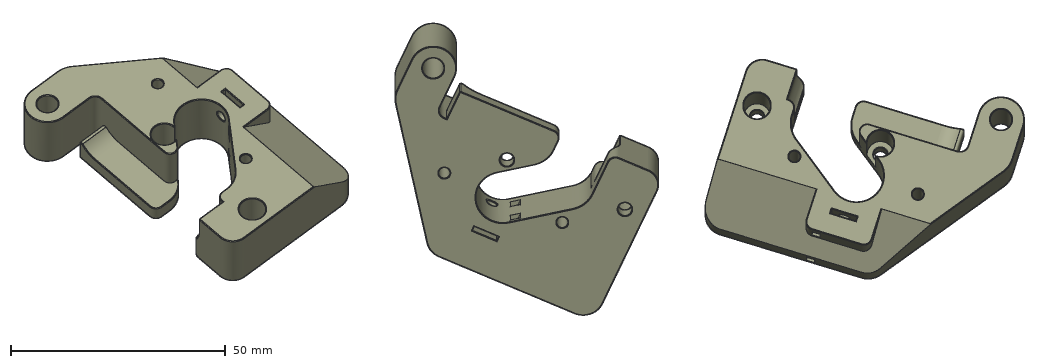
import cadquery as cq
import math

LENGTH = 65.65
WIDTH = 48.0
HEIGHT = 15.0
EDGE_BREAK = 0.2
SMALL_CORNER = 2.0
FINGER_CORNER = 1.85

LUG_RADIUS = 5.45
LUG_BORE_DIAMETER = 5.0

FRONT_Y = 8.15
WALL_Y = 15.7
FOOT_LEFT_X = 13.5

SLOT_RADIUS = 6.3
SLOT_END = (33.55, 28.3)
SLOT_ANGLE = math.radians(36.9)
SLOT_RIGHT_X = 52.1
SLOT_LEFT_X = SLOT_RIGHT_X - 2 * SLOT_RADIUS
SLOT_BEND_RADIUS = 6.55

BACK_LEFT_X = 23.55
LEFT_SLANT_Y = 15.7
LEFT_CORNER = 6.0
BACK_CORNER = 5.0
FRONT_RIGHT_CORNER = 4.0

GROOVE_LEFT_X = 12.75
GROOVE_RIGHT_X = 54.35
GROOVE_FLOOR_Z = 4.0
GROOVE_RADIUS = 6.0
FOOT_TIP_Z = 5.8
FOOT_TIP_RADIUS = 0.45

SLOPE_START_Y = 34.2
SLOPE_BACK_Z = 5.9
BOSS_WIDTH = 16.0
BOSS_BACK_Y = 43.8

NUT_SLOT_LENGTH = 6.2
NUT_SLOT_WIDTH = 1.05
NUT_SLOT_Y = 38.2
SCREW_DIAMETER = 2.6
SCREW_Z = 11.2

WINDOW_WIDTH = 2.0
WINDOW_HEIGHT = 2.95
WINDOW_OFFSET_X = 5.05
WINDOW_CENTERS_Z = (2.7, 11.2)

PIN_CENTERS = [(18.6, SLOT_END[1]), (48.7, SLOT_END[1])]
PIN_DIAMETER = 2.6
BOLT_CENTERS = [(30.5, 19.3), (60.65, 19.3)]
BOLT_DIAMETER = 3.2
COUNTERBORE_DIAMETER = 6.25
COUNTERBORE_FLOOR_Z = GROOVE_FLOOR_Z


def rounded_outline(corners):
    """Closed wire through (x, y, radius) corners, each rounded by a tangent arc."""
    shortest_line = 6.56e-05
    stretches = []
    for i, (x, y, radius) in enumerate(corners):
        corner = cq.Vector(x, y)
        before = (cq.Vector(*corners[i - 1][:2]) - corner).normalized()
        after = (cq.Vector(*corners[(i + 1) % len(corners)][:2]) - corner).normalized()
        half_angle = before.getAngle(after) / 2
        reach = radius / math.tan(half_angle)
        bisector = (before + after).normalized()
        arc_middle = corner + bisector * (radius / math.sin(half_angle) - radius)
        stretches.append((corner + before * reach, arc_middle, corner + after * reach, radius))

    edges = []
    for i, (start, middle, end, radius) in enumerate(stretches):
        previous_end = stretches[i - 1][2]
        if (start - previous_end).Length > shortest_line:
            edges.append(cq.Edge.makeLine(previous_end, start))
        if radius > 0:
            edges.append(cq.Edge.makeThreePointArc(start, middle, end))
    return cq.Wire.assembleEdges(edges)


def prism(corners, height=HEIGHT):
    """Solid raised from the XY plane on a rounded outline."""
    return cq.Workplane("XY").add(rounded_outline(corners)).toPending().extrude(height)


def slot_point(along, across):
    """Point at a distance along and across the slanted run of the slot from its round end."""
    return (
        SLOT_END[0] + along * math.cos(SLOT_ANGLE) + across * math.sin(SLOT_ANGLE),
        SLOT_END[1] - along * math.sin(SLOT_ANGLE) + across * math.cos(SLOT_ANGLE),
    )


def slot_wall_y(x, across):
    """Y where the slanted slot wall reaches the given x."""
    wall_x, wall_y = slot_point(0, across)
    return wall_y - (x - wall_x) * math.tan(SLOT_ANGLE)


def slot_wall_x(y, across):
    """X where the slanted slot wall reaches the given y."""
    wall_x, wall_y = slot_point(0, across)
    return wall_x + (wall_y - y) / math.tan(SLOT_ANGLE)


def body():
    """Full-height plan shape, before the groove and the holes."""
    corners = [
        (0, 0, LUG_RADIUS),
        (2 * LUG_RADIUS, 0, LUG_RADIUS),
        (2 * LUG_RADIUS, WALL_Y, SMALL_CORNER),
        (FOOT_LEFT_X, WALL_Y, 0),
        (FOOT_LEFT_X, FRONT_Y, 0),
        (SLOT_LEFT_X, FRONT_Y, SMALL_CORNER),
        (SLOT_LEFT_X, slot_wall_y(SLOT_LEFT_X, -SLOT_RADIUS), SLOT_BEND_RADIUS),
        (*slot_point(-SLOT_RADIUS, -SLOT_RADIUS), SLOT_RADIUS),
        (*slot_point(-SLOT_RADIUS, SLOT_RADIUS), SLOT_RADIUS),
        (SLOT_RIGHT_X, slot_wall_y(SLOT_RIGHT_X, SLOT_RADIUS), SLOT_BEND_RADIUS),
        (SLOT_RIGHT_X, FRONT_Y, SMALL_CORNER),
        (LENGTH, FRONT_Y, FRONT_RIGHT_CORNER),
        (LENGTH, WIDTH, BACK_CORNER),
        (BACK_LEFT_X, WIDTH, BACK_CORNER),
        (0, LEFT_SLANT_Y, LEFT_CORNER),
    ]
    return prism(corners)


def groove():
    """Front groove, leaving a round-tipped finger and a rounded post in front of the wall."""
    arc_center_z = GROOVE_FLOOR_Z + GROOVE_RADIUS
    left_center_x = GROOVE_LEFT_X + GROOVE_RADIUS
    right_center_x = GROOVE_RIGHT_X - GROOVE_RADIUS
    diagonal = GROOVE_RADIUS * math.sqrt(0.5)
    tip_angle = math.acos((arc_center_z - FOOT_TIP_Z) / GROOVE_RADIUS)
    tip_end_x = left_center_x - GROOVE_RADIUS * math.sin(tip_angle)
    left_arc_middle = (
        left_center_x - GROOVE_RADIUS * math.sin(tip_angle / 2),
        arc_center_z - GROOVE_RADIUS * math.cos(tip_angle / 2),
    )
    block = (
        cq.Workplane("XZ")
        .moveTo(FOOT_LEFT_X, 2 * HEIGHT)
        .lineTo(FOOT_LEFT_X, FOOT_TIP_Z - FOOT_TIP_RADIUS)
        .radiusArc((FOOT_LEFT_X + FOOT_TIP_RADIUS, FOOT_TIP_Z), FOOT_TIP_RADIUS)
        .lineTo(tip_end_x, FOOT_TIP_Z)
        .threePointArc(left_arc_middle, (left_center_x, GROOVE_FLOOR_Z))
        .lineTo(right_center_x, GROOVE_FLOOR_Z)
        .threePointArc(
            (right_center_x + diagonal, arc_center_z - diagonal),
            (GROOVE_RIGHT_X, arc_center_z),
        )
        .lineTo(GROOVE_RIGHT_X, 2 * HEIGHT)
        .close()
        .extrude(-(WALL_Y + 2 * SMALL_CORNER))
    )
    finger = prism([
        (0, WALL_Y, 0),
        (slot_wall_x(WALL_Y, -SLOT_RADIUS), WALL_Y, FINGER_CORNER),
        (*slot_point(0, -SLOT_RADIUS), 0),
        (0, SLOT_END[1], 0),
    ], 3 * HEIGHT)
    post = prism([
        (SLOT_RIGHT_X, WALL_Y, SMALL_CORNER),
        (LENGTH, WALL_Y, 0),
        (LENGTH, WIDTH, 0),
        (SLOT_RIGHT_X, WIDTH, 0),
    ], 3 * HEIGHT)
    return block.cut(finger).cut(post)


def back_slope():
    """Wedge removed from the back, with the boss left standing in it."""
    drop = (HEIGHT - SLOPE_BACK_Z) / (WIDTH - SLOPE_START_Y)
    past = 3.3
    wedge = (
        cq.Workplane("YZ")
        .polyline([
            (SLOPE_START_Y, HEIGHT),
            (WIDTH + past, SLOPE_BACK_Z - drop * past),
            (WIDTH + past, HEIGHT),
        ])
        .close()
        .extrude(LENGTH)
    )
    left = SLOT_END[0] - BOSS_WIDTH / 2
    right = SLOT_END[0] + BOSS_WIDTH / 2
    boss = prism([
        (left, SLOT_END[1], 0),
        (right, SLOT_END[1], 0),
        (right, BOSS_BACK_Y, SMALL_CORNER),
        (left, BOSS_BACK_Y, SMALL_CORNER),
    ])
    return wedge.cut(boss.faces(">Z").chamfer(EDGE_BREAK))


def vertical_hole(centers, diameter, floor=0.0):
    """Cutter for round holes from the floor height up through the top."""
    hole = cq.Workplane("XY").workplane(offset=floor).pushPoints(centers)
    return hole.circle(diameter / 2).extrude(HEIGHT)


def bolt_rims():
    """Small cones that break the bolt hole rims at the counterbore floors."""
    rims = cq.Workplane("XY").workplane(offset=COUNTERBORE_FLOOR_Z - EDGE_BREAK).pushPoints(BOLT_CENTERS)
    return rims.circle(BOLT_DIAMETER / 2).extrude(EDGE_BREAK, taper=-45)


def nut_slot():
    """Flat nut pocket, open at the top and the bottom."""
    outline = cq.Workplane("XY").center(SLOT_END[0], NUT_SLOT_Y).rect(NUT_SLOT_LENGTH, NUT_SLOT_WIDTH)
    return outline.extrude(HEIGHT)


def screw_hole():
    """Screw hole along Y from the slot's round end into the nut slot."""
    plane = cq.Plane(origin=(SLOT_END[0], SLOT_END[1], SCREW_Z), xDir=(1, 0, 0), normal=(0, 1, 0))
    return cq.Workplane(plane).circle(SCREW_DIAMETER / 2).extrude(NUT_SLOT_Y - SLOT_END[1])


def strap_windows():
    """Upper and lower windows from the slot out through the back."""
    windows = cq.Workplane("XY")
    for z in WINDOW_CENTERS_Z:
        window = cq.Workplane("XY").box(
            WINDOW_WIDTH, WIDTH, WINDOW_HEIGHT, centered=(True, False, True)
        )
        windows = windows.add(window.translate((SLOT_END[0] + WINDOW_OFFSET_X, SLOT_END[1], z)))
    return windows.combine()


def break_groove_front(part):
    """Break the front edges of the groove; the chamfer runs on along the tangent edges."""
    front_strip = cq.selectors.BoxSelector(
        (FOOT_LEFT_X, FRONT_Y - EDGE_BREAK, EDGE_BREAK),
        (GROOVE_RIGHT_X, FRONT_Y + EDGE_BREAK, HEIGHT - EDGE_BREAK),
    )
    return part.edges(front_strip).edges("not |Z").chamfer(EDGE_BREAK)


def break_counterbore_mouth(part):
    """Break the two upright edges where the left counterbore opens into the slot."""
    x, y = BOLT_CENTERS[0]
    mouth = cq.selectors.BoxSelector(
        (x, y + EDGE_BREAK, COUNTERBORE_FLOOR_Z),
        (x + COUNTERBORE_DIAMETER / 2, y + COUNTERBORE_DIAMETER / 2, HEIGHT),
    )
    return part.edges(mouth).edges("|Z").chamfer(EDGE_BREAK)


def break_screw_rim(part):
    """Break the rim of the screw hole where it opens through the slot's round end."""
    deepest_y = SLOT_END[1] + SLOT_RADIUS
    nearest_y = deepest_y - SCREW_DIAMETER / 2
    rim = cq.selectors.BoxSelector(
        (SLOT_END[0] - SCREW_DIAMETER, nearest_y, SCREW_Z - SCREW_DIAMETER),
        (SLOT_END[0] + SCREW_DIAMETER, deepest_y + EDGE_BREAK, SCREW_Z + SCREW_DIAMETER),
    )
    return part.edges(rim).chamfer(EDGE_BREAK)


grooved = break_groove_front(body().cut(groove()))
drilled = (
    grooved
    .cut(vertical_hole([(LUG_RADIUS, LUG_RADIUS)], LUG_BORE_DIAMETER))
    .cut(vertical_hole(PIN_CENTERS, PIN_DIAMETER))
    .cut(vertical_hole(BOLT_CENTERS, BOLT_DIAMETER))
    .cut(vertical_hole(BOLT_CENTERS, COUNTERBORE_DIAMETER, COUNTERBORE_FLOOR_Z))
    .cut(bolt_rims())
    .cut(nut_slot())
)
broken = break_counterbore_mouth(drilled.faces("<Z or >Z").chamfer(EDGE_BREAK))
screwed = break_screw_rim(broken.cut(screw_hole()))
result = screwed.cut(strap_windows()).cut(back_slope())